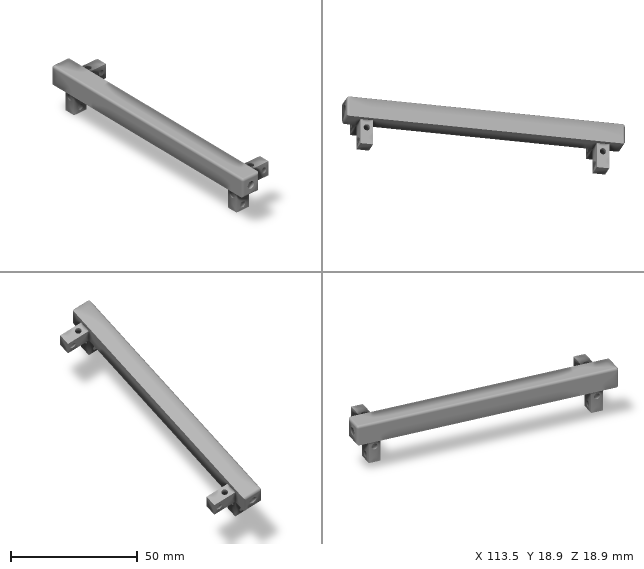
import cadquery as cq

bar_length = 113.5
bar_side = 8.6
edge_radius = 1.0

tab_reach = 10.3
tab_width = 5.1
tab_thickness = 6.6
tab_spacing = 96.4

hole_diameter = 2.6
hole_from_bar = 3.3
cross_hole_from_tip = 2.5

bore_diameter = 3.4
bore_depth = 10.3
bore_rise = 0.1
floor_radius = 2.5
floor_flat_drop = 0.6

half_length = bar_length / 2
tab_centers = (-tab_spacing / 2, tab_spacing / 2)
cross_hole_offset = tab_reach - cross_hole_from_tip
half_thickness = tab_thickness / 2


def make_box(size_x, size_y, size_z, center):
    return cq.Workplane("XY").box(size_x, size_y, size_z).translate(center)


def make_pin(diameter, length, start, direction):
    return cq.Workplane(cq.Solid.makeCylinder(diameter / 2, length, cq.Vector(*start), cq.Vector(*direction)))


def make_bore(side):
    center_z = bar_side / 2 + bore_rise
    bore = make_pin(bore_diameter, bore_depth, (side * half_length, -bar_side / 2, center_z), (-side, 0, 0))
    block_top = center_z - floor_flat_drop + floor_radius
    block_center = (side * (half_length - bore_depth / 2), -bar_side / 2, block_top - bar_side / 2)
    block = make_box(bore_depth, bar_side, bar_side, block_center)
    inner_side = "<X" if side > 0 else ">X"
    block = block.edges(f"|Y and >Z and {inner_side}").fillet(floor_radius)
    return bore.intersect(block)


def make_bar():
    bar = make_box(bar_length, bar_side, bar_side, (0, -bar_side / 2, bar_side / 2))
    bar = bar.edges("(|X and >Z and <Y) or (#X and (<X or >X))").fillet(edge_radius)
    for side in (-1, 1):
        bar = bar.cut(make_bore(side))
    return bar


def make_back_tab(x):
    tab = make_box(tab_width, tab_reach, tab_thickness, (x, tab_reach / 2, half_thickness))
    tab = tab.cut(make_pin(hole_diameter, tab_thickness, (x, hole_from_bar, 0), (0, 0, 1)))
    cross_start = (x - tab_width / 2, cross_hole_offset, half_thickness)
    return tab.cut(make_pin(hole_diameter, tab_width, cross_start, (1, 0, 0)))


def make_lower_tab(x):
    tab = make_box(tab_width, tab_thickness, tab_reach, (x, -half_thickness, -tab_reach / 2))
    tab = tab.cut(make_pin(hole_diameter, tab_thickness, (x, 0, -hole_from_bar), (0, -1, 0)))
    cross_start = (x - tab_width / 2, -half_thickness, -cross_hole_offset)
    return tab.cut(make_pin(hole_diameter, tab_width, cross_start, (1, 0, 0)))


result = make_bar()
for tab_x in tab_centers:
    result = result.union(make_back_tab(tab_x))
    result = result.union(make_lower_tab(tab_x))